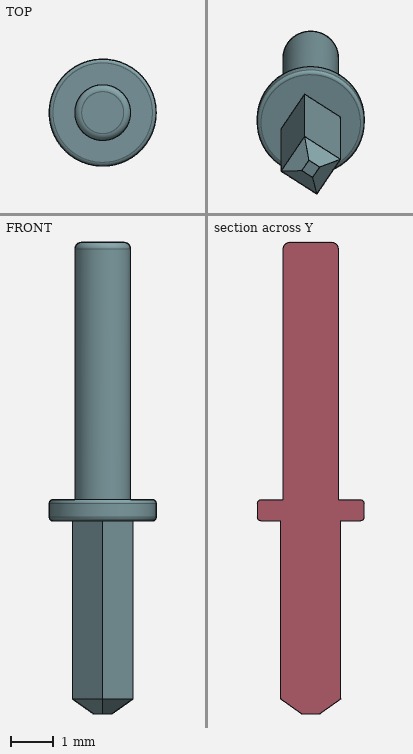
import cadquery as cq

PIN_DIAMETER = 1.3
PIN_LENGTH = 6.0
PIN_TIP_FILLET = 0.16

COLLAR_DIAMETER = 2.5
COLLAR_THICKNESS = 0.5
COLLAR_FILLET = 0.09

OVERALL_LENGTH = 11.0
TAIL_SIDE = 1.0
TAIL_LENGTH = OVERALL_LENGTH - PIN_LENGTH - COLLAR_THICKNESS
TAIL_ROTATION = 45.0
TAIL_TIP_CHAMFER = 0.35


def make_collar():
    """Disc from Z = 0 upward with both rims rounded."""
    disc = cq.Workplane("XY").circle(COLLAR_DIAMETER / 2).extrude(COLLAR_THICKNESS)
    return disc.edges("%CIRCLE").fillet(COLLAR_FILLET)


def make_pin():
    """Round pin standing on the collar, with a rounded free end."""
    base = cq.Workplane("XY").workplane(offset=COLLAR_THICKNESS)
    pin = base.circle(PIN_DIAMETER / 2).extrude(PIN_LENGTH)
    return pin.faces(">Z").edges().fillet(PIN_TIP_FILLET)


def make_tail():
    """Square tail hanging below the collar, chamfered to a blunt pyramid."""
    tail = cq.Workplane("XY").rect(TAIL_SIDE, TAIL_SIDE).extrude(-TAIL_LENGTH)
    tail = tail.faces("<Z").edges().chamfer(TAIL_TIP_CHAMFER)
    return tail.rotate((0, 0, 0), (0, 0, 1), TAIL_ROTATION)


result = make_collar().union(make_pin()).union(make_tail())